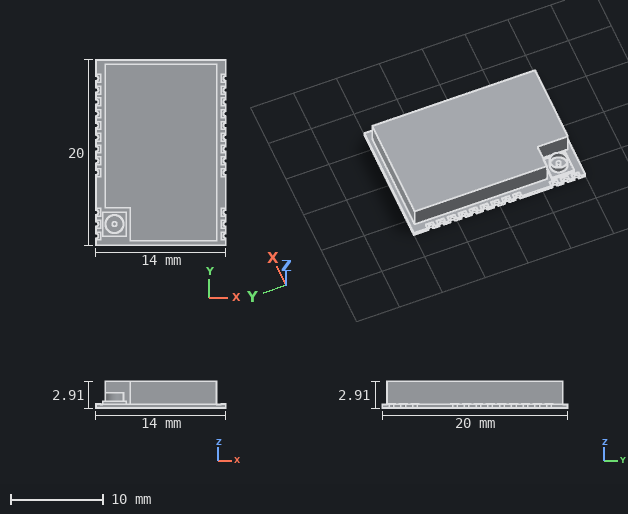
import cadquery as cq

BOARD_WIDTH = 14.0
BOARD_LENGTH = 20.0
BOARD_THICKNESS = 0.41
OVERALL_HEIGHT = 2.91

PAD_PITCH = 1.27
PAD_LENGTH = 0.85
PAD_WIDTH = 0.5
PAD_THICKNESS = 0.05
NOTCH_DIAMETER = 0.5
UPPER_PAD_COUNT = 9
UPPER_FIRST_PAD_Y = 8.0
LOWER_PAD_COUNT = 3
LOWER_FIRST_PAD_Y = -6.45

SHIELD_SIDE_MARGIN = 1.0
SHIELD_END_MARGIN = 0.5
SHIELD_CORNER_X = -3.3
SHIELD_CORNER_Y = -5.95

CONNECTOR_X = -5.0
CONNECTOR_Y = -7.71
CONNECTOR_BASE_WIDTH = 2.55
CONNECTOR_BASE_LENGTH = 2.6
CONNECTOR_BASE_HEIGHT = 0.35
RING_OUTER_DIAMETER = 2.0
RING_INNER_DIAMETER = 1.9
RING_HEIGHT = 0.9
PIN_DIAMETER = 0.5
PIN_HEIGHT = 0.4


def block(width, length, height, x, y, z):
    """Box centred on (x, y) with its bottom face at z."""
    return cq.Workplane("XY").box(width, length, height, centered=(True, True, False)).translate((x, y, z))


def cylinder(diameter, height, x, y, z):
    """Upright cylinder centred on (x, y) with its bottom face at z."""
    return cq.Workplane("XY").circle(diameter / 2).extrude(height).translate((x, y, z))


def pad_rows():
    """Y positions of all pads along one long edge."""
    upper = [UPPER_FIRST_PAD_Y - i * PAD_PITCH for i in range(UPPER_PAD_COUNT)]
    lower = [LOWER_FIRST_PAD_Y - i * PAD_PITCH for i in range(LOWER_PAD_COUNT)]
    return upper + lower


def make_board():
    """Board with raised pads and a half-round notch through each pad."""
    board = block(BOARD_WIDTH, BOARD_LENGTH, BOARD_THICKNESS, 0, 0, 0)
    pad_top = BOARD_THICKNESS + PAD_THICKNESS
    for side in (-1, 1):
        edge_x = side * BOARD_WIDTH / 2
        pad_x = edge_x - side * PAD_WIDTH / 2
        for y in pad_rows():
            board = board.union(block(PAD_WIDTH, PAD_LENGTH, pad_top, pad_x, y, 0))
            board = board.cut(cylinder(NOTCH_DIAMETER, pad_top, edge_x, y, 0))
    return board


def make_shield():
    """Shield can standing on the board, notched around the connector."""
    right = BOARD_WIDTH / 2 - SHIELD_SIDE_MARGIN
    back = BOARD_LENGTH / 2 - SHIELD_END_MARGIN
    outline = [
        (-right, back),
        (right, back),
        (right, -back),
        (SHIELD_CORNER_X, -back),
        (SHIELD_CORNER_X, SHIELD_CORNER_Y),
        (-right, SHIELD_CORNER_Y),
    ]
    can = cq.Workplane("XY").polyline(outline).close().extrude(OVERALL_HEIGHT - BOARD_THICKNESS)
    return can.translate((0, 0, BOARD_THICKNESS))


def make_connector():
    """Rectangular base carrying a thin ring with a centre pin."""
    base = block(
        CONNECTOR_BASE_WIDTH,
        CONNECTOR_BASE_LENGTH,
        CONNECTOR_BASE_HEIGHT,
        CONNECTOR_X,
        CONNECTOR_Y,
        BOARD_THICKNESS,
    )
    base_top = BOARD_THICKNESS + CONNECTOR_BASE_HEIGHT
    ring = cylinder(RING_OUTER_DIAMETER, RING_HEIGHT, CONNECTOR_X, CONNECTOR_Y, base_top)
    bore = cylinder(RING_INNER_DIAMETER, RING_HEIGHT, CONNECTOR_X, CONNECTOR_Y, base_top)
    pin = cylinder(PIN_DIAMETER, PIN_HEIGHT, CONNECTOR_X, CONNECTOR_Y, base_top)
    return base.union(ring.cut(bore)).union(pin)


result = make_board().union(make_shield()).union(make_connector())